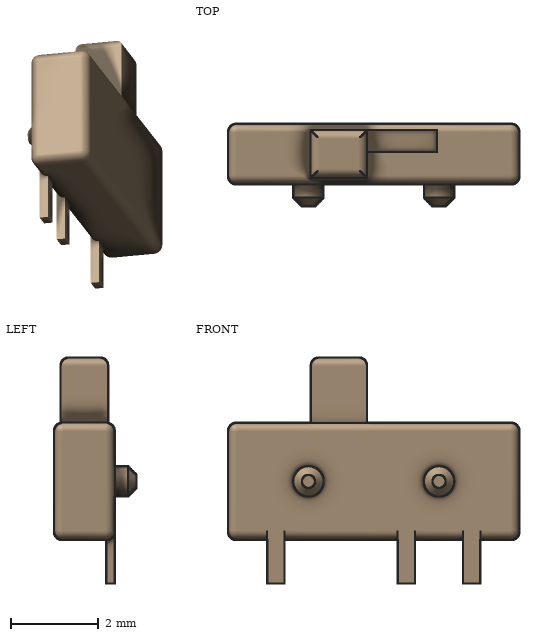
import cadquery as cq

BODY_LENGTH = 6.7
BODY_DEPTH = 1.4
BODY_HEIGHT = 2.7
EDGE_RADIUS = 0.2

KNOB_X = -0.8
KNOB_LENGTH = 1.3
KNOB_DEPTH = 1.1
KNOB_HEIGHT = 1.5

SLOT_TRAVEL = 1.6
SLOT_WIDTH = 0.5
SLOT_DEPTH = 0.2

PEG_SPACING = 3.0
PEG_DIAMETER = 0.7
PEG_LENGTH = 0.5
PEG_CHAMFER = 0.2

LEAD_PITCH = 1.5
LEAD_POSITIONS = [-1.5 * LEAD_PITCH, 0.5 * LEAD_PITCH, 1.5 * LEAD_PITCH]
LEAD_WIDTH = 0.4
LEAD_THICKNESS = 0.2
LEAD_LENGTH = 1.0

FRONT_Y = -BODY_DEPTH / 2
TOP_Z = BODY_HEIGHT / 2
BOTTOM_Z = -BODY_HEIGHT / 2


def make_body():
    """Housing block with every edge rounded."""
    return cq.Workplane("XY").box(BODY_LENGTH, BODY_DEPTH, BODY_HEIGHT).edges().fillet(EDGE_RADIUS)


def make_slot():
    """Cutter for the shallow slot beside the knob, flush with the knob's rear side."""
    knob_side_x = KNOB_X + KNOB_LENGTH / 2
    slot_front_y = KNOB_DEPTH / 2 - SLOT_WIDTH
    return (
        cq.Workplane("XY")
        .box(SLOT_TRAVEL, SLOT_WIDTH, SLOT_DEPTH, centered=False)
        .translate((knob_side_x, slot_front_y, TOP_Z - SLOT_DEPTH))
    )


def make_knob():
    """Knob with its top rim rounded; its root sinks below the rounded housing edges."""
    root_z = TOP_Z - EDGE_RADIUS
    return (
        cq.Workplane("XY", origin=(KNOB_X, 0, root_z))
        .box(KNOB_LENGTH, KNOB_DEPTH, KNOB_HEIGHT + EDGE_RADIUS, centered=(True, True, False))
        .faces(">Z")
        .edges()
        .fillet(EDGE_RADIUS)
    )


def make_peg(x):
    """Round peg pointing to -Y with a chamfered tip."""
    return (
        cq.Workplane("XZ", origin=(x, FRONT_Y, 0))
        .circle(PEG_DIAMETER / 2)
        .extrude(PEG_LENGTH)
        .faces("<Y")
        .chamfer(PEG_CHAMFER)
    )


def make_lead(x):
    """Flat lead that starts where the front face meets the rounded bottom edge."""
    top_z = BOTTOM_Z + EDGE_RADIUS
    lead_height = LEAD_LENGTH + EDGE_RADIUS
    return (
        cq.Workplane("XY")
        .box(LEAD_WIDTH, LEAD_THICKNESS, lead_height, centered=(True, False, False))
        .translate((x, FRONT_Y, top_z - lead_height))
    )


result = make_body().cut(make_slot()).union(make_knob())

for peg_x in (-PEG_SPACING / 2, PEG_SPACING / 2):
    result = result.union(make_peg(peg_x))

for lead_x in LEAD_POSITIONS:
    result = result.union(make_lead(lead_x))

result = result.clean()